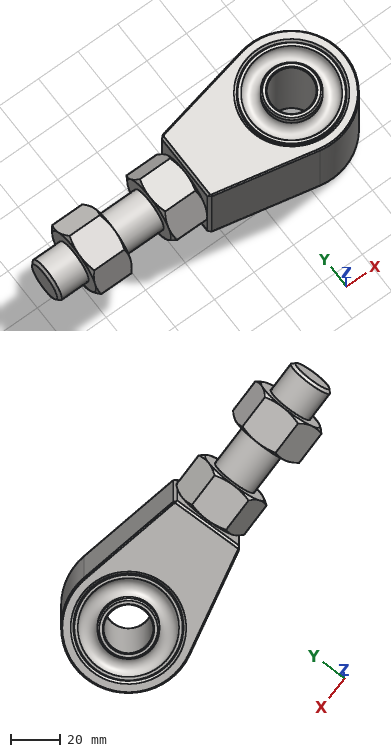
import cadquery as cq
import math


EYE_RADIUS = 27.5
TOTAL_LENGTH = 152.5
EYE_X = TOTAL_LENGTH - EYE_RADIUS
HOUSING_HEIGHT = 40.9
HOUSING_FACE_X = 70.9
FACE_WIDTH = 33.0
RIM_BEVEL_HEIGHT = 0.8
RIM_BEVEL_INSET = 0.6
FACE_BEVEL_INSET = 1.0
FACE_BEVEL_HEIGHT = 1.2
CORNER_BEVEL_LENGTH = 1.4
CORNER_BEVEL_WIDTH = 0.9
BORE_CHAMFER = 1.0

SLEEVE_LENGTH = 46.0
BORE_RADIUS = 10.0
SLEEVE_RADIUS = 12.7
SLEEVE_OUTER_CHAMFER = 0.8
SLEEVE_BORE_CHAMFER = 0.5
RUBBER_RADIUS = 20.6
SHELL_RADIUS = 22.4
SHELL_LENGTH = 40.3
SHELL_CHAMFER = 0.5
RUBBER_LENGTH_AT_SLEEVE = 38.1
RUBBER_LENGTH_AT_MIDDLE = 32.6

STUD_DIAMETER = 20.0
STUD_CHAMFER = 1.4
NUT_SIDES = 6
NUT_ACROSS_FLATS = 29.9
NUT_THICKNESS = 18.0
NUT_CHAMFER_ANGLE = 30.0
LOOSE_NUT_X = 15.0
LOOSE_NUT_TURN = 13.7
LOCK_NUT_X = HOUSING_FACE_X - NUT_THICKNESS
LOCK_NUT_TURN = 2.0


def make_tube(outer_radius, inner_radius, length):
    """Vertical tube around the eye axis, centred on mid height."""
    return (
        cq.Workplane("XY", origin=(EYE_X, 0, -length / 2))
        .circle(outer_radius)
        .circle(inner_radius)
        .extrude(length)
    )


def housing_outline():
    """Plan outline with bevelled face corners, its sides running tangent into the round eye."""
    half_width = FACE_WIDTH / 2
    corner_reach = EYE_X - HOUSING_FACE_X
    tangent_angle = (
        math.pi
        - math.atan2(half_width, corner_reach)
        - math.acos(EYE_RADIUS / math.hypot(half_width, corner_reach))
    )
    tangent_x = EYE_X + EYE_RADIUS * math.cos(tangent_angle)
    tangent_y = EYE_RADIUS * math.sin(tangent_angle)
    side_slope = (tangent_y - half_width) / (tangent_x - HOUSING_FACE_X)
    bevel_x = HOUSING_FACE_X + CORNER_BEVEL_LENGTH
    bevel_y = half_width + CORNER_BEVEL_LENGTH * side_slope
    face_y = half_width - CORNER_BEVEL_WIDTH
    return (
        cq.Workplane("XY")
        .moveTo(HOUSING_FACE_X, -face_y)
        .lineTo(bevel_x, -bevel_y)
        .lineTo(tangent_x, -tangent_y)
        .threePointArc((EYE_X + EYE_RADIUS, 0), (tangent_x, tangent_y))
        .lineTo(bevel_x, bevel_y)
        .lineTo(HOUSING_FACE_X, face_y)
        .close()
    )


def make_half_block():
    """Upper half of the housing block, its top rim sloping inward."""
    straight_height = HOUSING_HEIGHT / 2 - RIM_BEVEL_HEIGHT
    rim_taper = math.degrees(math.atan(RIM_BEVEL_INSET / RIM_BEVEL_HEIGHT))
    rim = housing_outline().extrude(RIM_BEVEL_HEIGHT, taper=rim_taper)
    return housing_outline().extrude(straight_height).union(rim.translate((0, 0, straight_height)))


def make_face_envelope():
    """Side profile of the housing, bevelled where the stud face meets top and bottom."""
    half_height = HOUSING_HEIGHT / 2
    bevel_z = half_height - FACE_BEVEL_HEIGHT
    bevel_x = HOUSING_FACE_X + FACE_BEVEL_INSET
    end_x = EYE_X + EYE_RADIUS
    return (
        cq.Workplane("XZ")
        .moveTo(HOUSING_FACE_X, -bevel_z)
        .lineTo(bevel_x, -half_height)
        .lineTo(end_x, -half_height)
        .lineTo(end_x, half_height)
        .lineTo(bevel_x, half_height)
        .lineTo(HOUSING_FACE_X, bevel_z)
        .close()
        .extrude(EYE_RADIUS, both=True)
    )


def make_housing():
    """Block with bevelled edges and a chamfered bore for the bushing."""
    half_block = make_half_block()
    return (
        half_block.union(half_block.mirror("XY"))
        .intersect(make_face_envelope())
        .faces(">Z")
        .workplane(origin=(EYE_X, 0, 0))
        .hole(2 * SHELL_RADIUS)
        .edges(cq.selectors.RadiusNthSelector(0))
        .chamfer(BORE_CHAMFER)
    )


def make_shell():
    """Outer ring of the bushing, seated in the housing bore, its ends just below the housing faces."""
    return (
        make_tube(SHELL_RADIUS, RUBBER_RADIUS, SHELL_LENGTH)
        .edges(cq.selectors.RadiusNthSelector(-1))
        .chamfer(SHELL_CHAMFER)
    )


def make_rubber():
    """Elastic ring between shell and sleeve, with a hollow round groove in both ends."""
    outer_z = SHELL_LENGTH / 2
    inner_z = RUBBER_LENGTH_AT_SLEEVE / 2
    groove_z = RUBBER_LENGTH_AT_MIDDLE / 2
    middle_radius = (SLEEVE_RADIUS + RUBBER_RADIUS) / 2
    return (
        cq.Workplane("XZ", origin=(EYE_X, 0, 0))
        .moveTo(SLEEVE_RADIUS, -inner_z)
        .threePointArc((middle_radius, -groove_z), (RUBBER_RADIUS, -outer_z))
        .lineTo(RUBBER_RADIUS, outer_z)
        .threePointArc((middle_radius, groove_z), (SLEEVE_RADIUS, inner_z))
        .close()
        .revolve(360, (0, 0, 0), (0, 1, 0))
    )


def make_sleeve():
    """Inner sleeve of the bushing, standing proud of the housing at both ends."""
    return (
        make_tube(SLEEVE_RADIUS, BORE_RADIUS, SLEEVE_LENGTH)
        .edges(cq.selectors.RadiusNthSelector(-1))
        .chamfer(SLEEVE_OUTER_CHAMFER)
        .edges(cq.selectors.RadiusNthSelector(0))
        .chamfer(SLEEVE_BORE_CHAMFER)
    )


def make_stud():
    """Round stud that butts against the housing face."""
    return (
        cq.Workplane("YZ")
        .circle(STUD_DIAMETER / 2)
        .extrude(HOUSING_FACE_X)
        .faces("<X")
        .chamfer(STUD_CHAMFER)
    )


def make_nut(start_x, turn):
    """Hexagon nut on the stud, its corners cut by a cone at both ends."""
    flat_radius = NUT_ACROSS_FLATS / 2
    corner_radius = flat_radius / math.cos(math.pi / NUT_SIDES)
    cone_length = (corner_radius - flat_radius) * math.tan(math.radians(NUT_CHAMFER_ANGLE))
    hexagon = (
        cq.Workplane("YZ", origin=(start_x, 0, 0))
        .polygon(NUT_SIDES, 2 * corner_radius)
        .extrude(NUT_THICKNESS)
        .rotate((0, 0, 0), (1, 0, 0), turn)
    )
    envelope = (
        cq.Workplane("XY", origin=(start_x, 0, 0))
        .lineTo(0, flat_radius)
        .lineTo(cone_length, corner_radius)
        .lineTo(NUT_THICKNESS - cone_length, corner_radius)
        .lineTo(NUT_THICKNESS, flat_radius)
        .lineTo(NUT_THICKNESS, 0)
        .close()
        .revolve(360, (0, 0, 0), (1, 0, 0))
    )
    return (
        hexagon.intersect(envelope)
        .faces("<X")
        .workplane(origin=(start_x, 0, 0))
        .hole(STUD_DIAMETER)
    )


housing = make_housing()
shell = make_shell()
rubber = make_rubber()
sleeve = make_sleeve()
stud = make_stud()
nuts = [
    make_nut(start_x, turn)
    for start_x, turn in ((LOOSE_NUT_X, LOOSE_NUT_TURN), (LOCK_NUT_X, LOCK_NUT_TURN))
]

result = cq.Compound.makeCompound(
    [
        housing.val(),
        shell.val(),
        rubber.val(),
        sleeve.val(),
        stud.val(),
        *[nut.val() for nut in nuts],
    ]
)